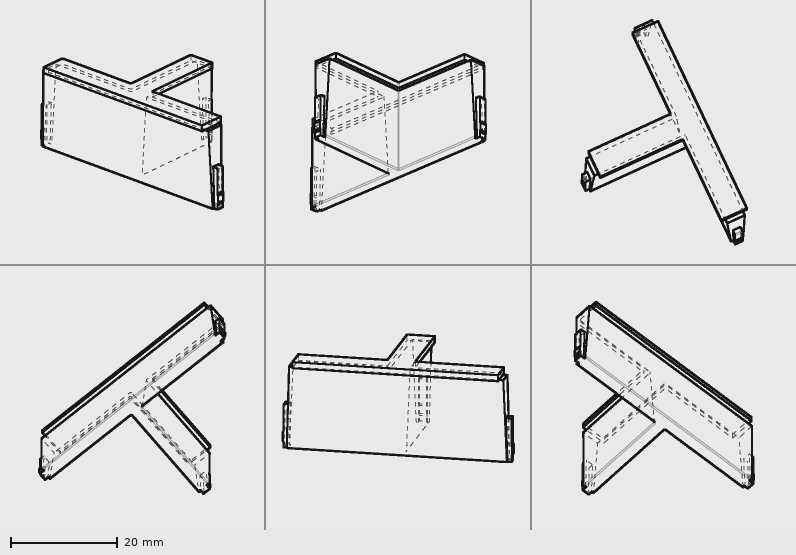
import cadquery as cq
import math

length = 44.3
depth = 24.8
height = 17.5

plate_thickness = 1.2
plate_width = 5.35
rail_overhang = 2.3
corner_radius = 0.18

wall_height = height - plate_thickness
wall_top_width = 3.7
draft_shift = wall_height * math.tan(math.radians(2))
wall_bottom_width = wall_top_width - 2 * draft_shift
wall_top_overhang = 0.85
bottom_radius = 0.25

rail_width = 1.55
rail_height = 8.6
rail_top_radius = 0.25
rail_root = 2.65
bump_height = 0.155
bump_bottom = 1.05
bump_top = 3.32
bump_slope = 0.35

bar_reach = length / 2 - rail_overhang
stem_reach = depth - plate_width / 2 - rail_overhang


def make_plate():
    """T-shaped plate with rounded inner corners."""
    bar = cq.Workplane("XY").box(2 * bar_reach, plate_width, plate_thickness, centered=(True, True, False))
    stem = cq.Workplane("XY").box(plate_width, stem_reach, plate_thickness, centered=(True, False, False))
    plate = bar.union(stem)
    inner_corners = cq.selectors.BoxSelector(
        (-plate_width, 0, -plate_thickness),
        (plate_width, plate_width, 2 * plate_thickness),
    )
    plate = plate.edges("|Z").edges(inner_corners).fillet(corner_radius)
    return plate.translate((0, 0, wall_height))


def make_wall(start, end):
    """Wall along X that narrows and grows longer downwards at each free end."""
    bottom_start = start - draft_shift if start < 0 else start
    bottom_end = end + draft_shift
    return (
        cq.Workplane("XY")
        .center((bottom_start + bottom_end) / 2, 0)
        .rect(bottom_end - bottom_start, wall_bottom_width)
        .workplane(offset=wall_height)
        .center((start + end - bottom_start - bottom_end) / 2, 0)
        .rect(end - start, wall_top_width)
        .loft(ruled=True)
    )


def make_walls():
    """T-shaped pair of walls, rounded at the inner corners and bottom edge."""
    bar_end = bar_reach + wall_top_overhang
    bar = make_wall(-bar_end, bar_end)
    stem = make_wall(0, stem_reach + wall_top_overhang).rotate((0, 0, 0), (0, 0, 1), 90)
    walls = bar.union(stem)
    inner_corners = cq.selectors.BoxSelector(
        (-wall_top_width, 0, wall_height / 4),
        (wall_top_width, wall_top_width, wall_height * 3 / 4),
    )
    walls = walls.edges(inner_corners).fillet(corner_radius)
    return walls.faces("<Z").edges().fillet(bottom_radius)


def make_rail(reach):
    """Clip rail with a shallow bump, facing +X, whose bump lies at the given reach."""
    face = reach - bump_height
    root = reach - rail_root
    return (
        cq.Workplane("XZ")
        .moveTo(root, 0)
        .lineTo(face, 0)
        .lineTo(face, bump_bottom)
        .lineTo(reach, bump_bottom + bump_slope)
        .lineTo(reach, bump_top - bump_slope)
        .lineTo(face, bump_top)
        .lineTo(face, rail_height - rail_top_radius)
        .tangentArcPoint((face - rail_top_radius, rail_height), relative=False)
        .lineTo(root, rail_height)
        .close()
        .extrude(rail_width / 2, both=True)
    )


result = make_plate().union(make_walls())
for angle, plate_reach in [(0, bar_reach), (90, stem_reach), (180, bar_reach)]:
    rail = make_rail(plate_reach + rail_overhang)
    result = result.union(rail.rotate((0, 0, 0), (0, 0, 1), angle))